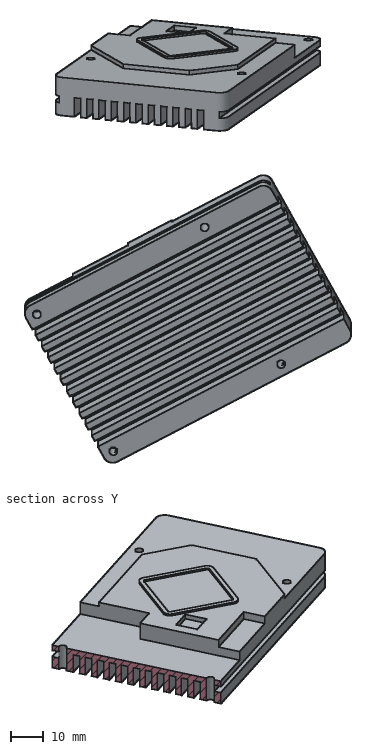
import cadquery as cq

width = 56.0
length = 85.0
height = 14.0
corner_radius = 3.0
body_top = 12.1
mid_x = width / 2

deck_top = 8.0
rear_edge_y = 67.3
rear_corner_x = 33.1
rear_corner_y = 60.4

pad_top = 13.4
pad_front_y = 16.4
pad_right_x = 49.7
pad_left_chamfer = 16.75
pad_right_chamfer = 11.5

ledge_top = 11.0
ledge_width = 7.0
ledge_front_y = 48.2

pocket_side = 7.05
pocket_depth = 1.5
pocket_x = 19.1
pocket_y = 60.3

frame_x = 27.45
frame_y = 43.35
frame_side = 24.2
frame_wall = 1.45
frame_radius = 2.1

slot_count = 11
slot_field_width = 42.0
slot_width = slot_field_width / (2 * slot_count - 1)
slot_pitch = 2 * slot_width
slot_top = 6.0
groove_depth = 2.0
groove_bottom = 4.0

hole_diameter = 2.5
hole_inset = 3.5
hole_pitch_y = 58.0


def box(x_start, x_end, y_start, y_end, z_start, z_end):
    """Return a block spanning the given limits."""
    size = (x_end - x_start, y_end - y_start, z_end - z_start)
    return cq.Workplane("XY").box(*size, centered=False).translate((x_start, y_start, z_start))


def turned_square(side, radius, z_start, z_end):
    """Return a rounded square block at the frame centre, turned by 45 degrees."""
    block = cq.Workplane("XY").rect(side, side).extrude(z_end - z_start).edges("|Z").fillet(radius)
    return block.rotate((0, 0, 0), (0, 0, 1), 45).translate((frame_x, frame_y, z_start))


def make_body():
    """Rounded plate with a lowered deck at the rear."""
    body = box(0, width, 0, length, 0, body_top).edges("|Z").fillet(corner_radius)
    body = body.cut(box(0, width, rear_edge_y, length, deck_top, body_top))
    return body.cut(box(rear_corner_x, width, rear_corner_y, length, deck_top, body_top))


def make_pad():
    """Raised pad that follows the stepped rear edge and has two cut front corners."""
    outline = [
        (0, pad_front_y + pad_left_chamfer),
        (pad_left_chamfer, pad_front_y),
        (pad_right_x - pad_right_chamfer, pad_front_y),
        (pad_right_x, pad_front_y + pad_right_chamfer),
        (pad_right_x, rear_corner_y),
        (rear_corner_x, rear_corner_y),
        (rear_corner_x, rear_edge_y),
        (0, rear_edge_y),
    ]
    return cq.Workplane("XY").workplane(offset=body_top).polyline(outline).close().extrude(pad_top - body_top)


def cut_ledge_and_pocket(part):
    """Cut the left ledge and the small square pocket."""
    part = part.cut(box(0, ledge_width, ledge_front_y, rear_edge_y, ledge_top, pad_top))
    half = pocket_side / 2
    pocket = box(
        pocket_x - half, pocket_x + half, pocket_y - half, pocket_y + half, pad_top - pocket_depth, pad_top
    )
    return part.cut(pocket)


def add_frame(part):
    """Add the turned square frame and hollow it down to the pad."""
    part = part.union(turned_square(frame_side, frame_radius, pad_top, height))
    inner_side = frame_side - 2 * frame_wall
    inner_radius = frame_radius - frame_wall
    return part.cut(turned_square(inner_side, inner_radius, pad_top, height))


def cut_slots(part):
    """Cut the cooling slots through the full length of the underside."""
    for index in range(slot_count):
        slot_x = mid_x + (index - (slot_count - 1) / 2) * slot_pitch
        part = part.cut(box(slot_x - slot_width / 2, slot_x + slot_width / 2, 0, length, 0, slot_top))
    return part


def cut_grooves(part):
    """Cut one groove along each long side."""
    for groove_x in (0, width - groove_depth):
        part = part.cut(box(groove_x, groove_x + groove_depth, 0, length, groove_bottom, slot_top))
    return part


def cut_holes(part):
    """Drill the four screw holes through the body."""
    rear_hole_y = length - hole_inset
    centres = [
        (x, y)
        for x in (hole_inset, width - hole_inset)
        for y in (rear_hole_y - hole_pitch_y, rear_hole_y)
    ]
    return part.cut(cq.Workplane("XY").pushPoints(centres).circle(hole_diameter / 2).extrude(height))


result = make_body().union(make_pad())
result = cut_ledge_and_pocket(result)
result = add_frame(result)
result = cut_slots(result)
result = cut_grooves(result)
result = cut_holes(result)